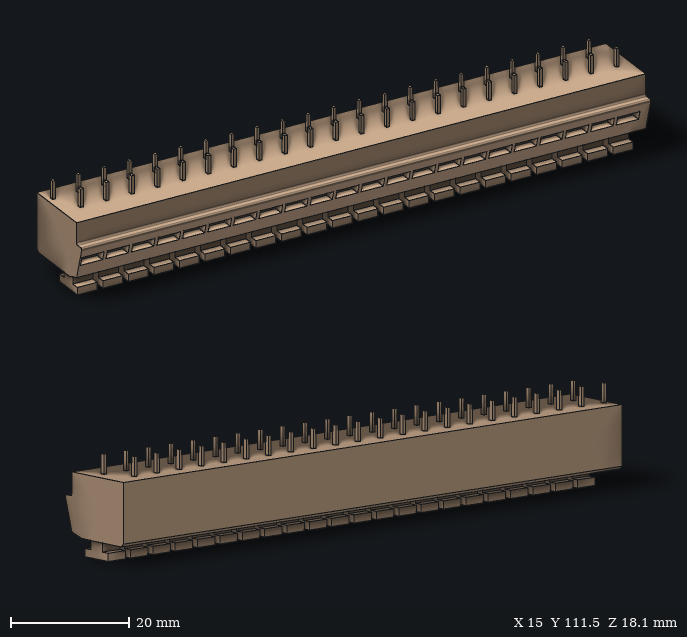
import cadquery as cq

length = 111.5
body_depth = 13.4
lip_depth = 15.0
total_height = 18.1

body_bottom = 3.5
body_top = 14.6
lip_top = 10.5
lip_edge_bottom = 10.0
lip_bottom = 4.2

edge_chamfer = 0.6
underside_end = 10.8
lip_inner_radius = 0.3
lip_outer_radius = 0.28

pole_count = 22
plain_end_length = 1.6
pole_pitch = (length - plain_end_length) / pole_count

pin_width = 0.8
pin_thickness = 0.6
first_pin_y = pole_pitch / 4
first_row_x = 3.3
row_spacing = pole_pitch

button_center_x = 8.8
button_width = 3.9
first_button_y = 3.0
stem_depth = 3.0
head_depth = 6.0
head_height = 1.5

pocket_floor_x = 12.3
pocket_bottom = 6.8
pocket_height = 1.7
pocket_wall = 0.3
pocket_width = pole_pitch - 2 * pocket_wall


def box(x_start, y_start, z_start, x_size, y_size, z_size):
    """Box placed by its lowest corner."""
    corner = (x_start, y_start, z_start)
    return cq.Workplane("XY").box(x_size, y_size, z_size, centered=False).translate(corner)


def round_long_edge(body, x, z, radius):
    """Fillet the lengthwise edge that passes through (x, z)."""
    margin = 0.1
    near_edge = cq.selectors.BoxSelector(
        (x - margin, -margin, z - margin),
        (x + margin, length + margin, z + margin),
    )
    return body.edges(near_edge).fillet(radius)


def make_body():
    """Housing profile with a lip, extruded along the whole length."""
    outline = [
        (edge_chamfer, body_bottom),
        (underside_end, body_bottom),
        (body_depth, lip_bottom),
        (lip_depth, lip_edge_bottom),
        (lip_depth, lip_top),
        (body_depth, lip_top),
        (body_depth, body_top),
        (0, body_top),
        (0, body_bottom + edge_chamfer),
    ]
    body = cq.Workplane("XZ").polyline(outline).close().extrude(-length)
    body = round_long_edge(body, lip_depth, lip_top, lip_outer_radius)
    return round_long_edge(body, body_depth, lip_top, lip_inner_radius)


def make_pin(x_center, y_center):
    """Upright rectangular pin standing on the top face."""
    return box(
        x_center - pin_width / 2, y_center - pin_thickness / 2, body_top,
        pin_width, pin_thickness, total_height - body_top,
    )


def make_button(y_center):
    """Narrow stem under the body with a wider head."""
    y_start = y_center - button_width / 2
    stem = box(button_center_x - stem_depth / 2, y_start, 0, stem_depth, button_width, body_bottom)
    head = box(button_center_x - head_depth / 2, y_start, 0, head_depth, button_width, head_height)
    return stem.union(head)


def make_pocket(pole_start):
    """Cutter for one wire entry, reaching out past the sloping face."""
    return box(
        pocket_floor_x, pole_start + pocket_wall, pocket_bottom,
        lip_depth - pocket_floor_x, pocket_width, pocket_height,
    )


added_parts = []
pockets = []
for pole in range(pole_count):
    pole_start = pole * pole_pitch
    first_row_y = first_pin_y + pole_start
    added_parts.append(make_pin(first_row_x, first_row_y).val())
    added_parts.append(make_pin(first_row_x + row_spacing, first_row_y + pole_pitch / 2).val())
    added_parts.append(make_button(first_button_y + pole_start).val())
    pockets.append(make_pocket(pole_start).val())

housing = make_body().val().cut(*pockets)
result = cq.Workplane("XY").newObject(housing.fuse(*added_parts).Solids())